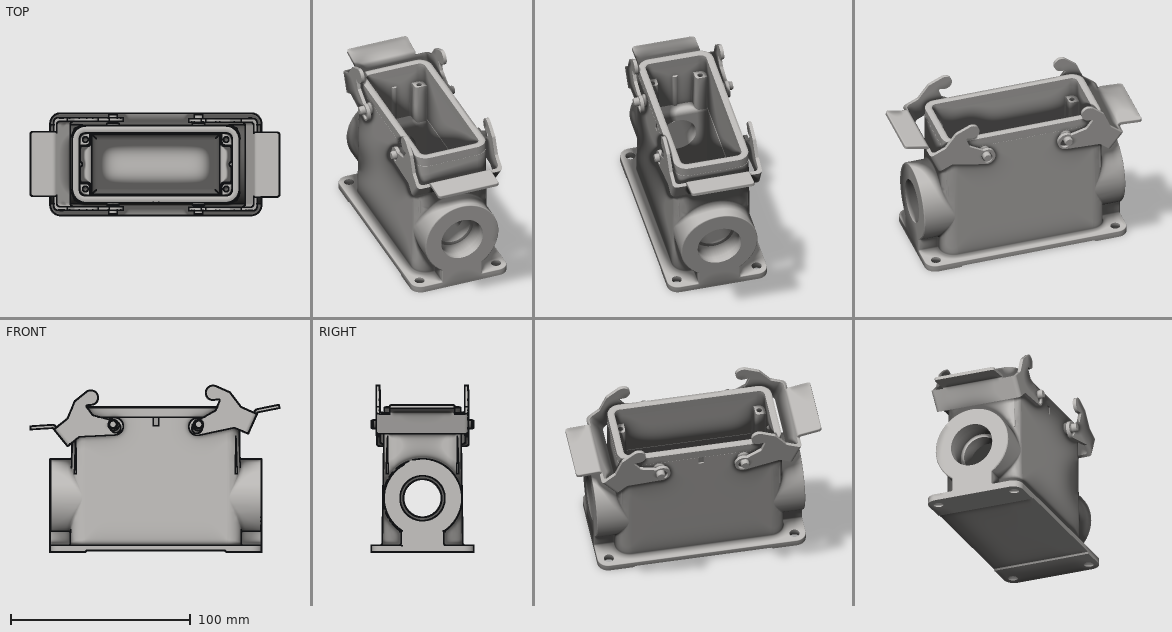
import cadquery as cq
import math

FLANGE_LENGTH = 117.5
FLANGE_WIDTH = 57.0
FLANGE_THICKNESS = 3.9
FLANGE_EDGE_FILLET = 0.4
FLANGE_CORNER = 6.1
MOUNT_HOLE_D = 5.5
MOUNT_HOLE_X = 52.4
MOUNT_HOLE_Y = 22.9
FOOT_RECESS_DEPTH = 0.8
FOOT_RECESS_HALF_LENGTH = 38.4

BODY_HALF_LENGTH = 47.46
BODY_HALF_WIDTH = 22.5
BODY_CORNER = 8.0
BODY_DRAFT = 0.9
BLEND_FILLET = 0.8
SHOULDER_Z = 74.8
RIM_HALF_LENGTH = 46.3
RIM_HALF_WIDTH = 21.27
RIM_CORNER = 7.2
RIM_WALL = 3.9
TOP_Z = 80.6
CROWN_HEIGHT = 0.5
NOTCH_WIDTH = 3.0
NOTCH_HEIGHT = 4.7
NOTCH_DEPTH = 0.7

LEDGE_Z = 46.7
FLOOR_Z = 4.2
LOWER_HALF_LENGTH = 35.5
LOWER_HALF_WIDTH = 16.6
LEDGE_ROUNDING = 3.0
FLOOR_FILLET = 3.0

BOSS_TOP_Z = 68.3
BOSS_INNER_X = 36.7
BOSS_INNER_Y = 10.7
BOSS_CORNER = 1.7
BOSS_ROOT_FILLET = 1.0
BOSS_DRAFT = 2.0
SCREW_HOLE_D = 3.0
SCREW_HOLE_X = 39.1
SCREW_HOLE_Y = 13.7
SCREW_HOLE_DEPTH = 16.6
DRILL_TIP_ANGLE = 118.0
RIB_D = 3.0

ENTRY_R = 21.9
ENTRY_Z = 30.0
ENTRY_EDGE_FILLET = 0.5
ENTRY_BORE_D = 21.0
ENTRY_COUNTERBORE_D = 25.0
ENTRY_COUNTERBORE_DEPTH = 13.9
ENTRY_FOOT_HALF_WIDTH = 11.9

PIN_X = 23.76
PIN_Z = 71.0
PIN_D = 4.8
PIN_TIP_D = 4.0
PIN_TIP_LENGTH = 1.0
PIN_END_Y = 28.34
COLLAR_D = 7.0
COLLAR_END_Y = 23.1
COLLAR_CONE_LENGTH = 0.7
PIN_RECESS_DEPTH = 0.3

LEVER_WIDTH = 51.1
SHEET = 2.0
LEVER_OUTER_BEND = 2.2
LEVER_INNER_BEND = 2.1
EYE_R = 4.8
SLOT_D = 5.5
SLOT_TRAVEL = 2.2
PIN_ABOVE_EYE = 1.4
WEB_INNER_X = 25.4
WEB_BOTTOM_Z = 7.8
WEB_TOP_Z = 19.8
CHEEK_BOTTOM_X = 18.8
CHEEK_TOP_X = 17.6
HOOK_X = 0.21
HOOK_Z = 20.6
HOOK_R = 4.09
HOOK_END_ANGLE = -52.0
HOOK_BACK_X = 8.6
HOOK_BACK_ROUNDING = 1.4
THROAT_X = 5.2
THROAT_Z = 19.05
THROAT_ROUNDING = 0.5
THROAT_FOOT_X = 5.5
THROAT_FOOT_Z = 12.3
HANDLE_ANGLE = 35.3
HANDLE_START_Z = 21.8
HANDLE_LENGTH = 13.5
HANDLE_WIDTH = 36.0
HANDLE_CORNER = 1.7
HANDLE_TIP_FILLET = 0.5
HANDLE_BEND = 0.5
RIGHT_TILT = 24.0
LEFT_TILT = 39.0
LEVER_SIDE_PLAY = 0.18

NEAR = 0.01


def rounded_plate(half_length, half_width, corner, bottom, height):
    """Upright prism with a rounded rectangular outline."""
    return (
        cq.Workplane("XY", origin=(0, 0, bottom))
        .rect(2 * half_length, 2 * half_width)
        .extrude(height)
        .edges("|Z")
        .fillet(corner)
    )


def flange():
    plate = rounded_plate(FLANGE_LENGTH / 2, FLANGE_WIDTH / 2, FLANGE_CORNER, 0, FLANGE_THICKNESS)
    outer = FOOT_RECESS_HALF_LENGTH + FOOT_RECESS_DEPTH
    recess = (
        cq.Workplane("XZ")
        .polyline([
            (-outer, 0),
            (-FOOT_RECESS_HALF_LENGTH, FOOT_RECESS_DEPTH),
            (FOOT_RECESS_HALF_LENGTH, FOOT_RECESS_DEPTH),
            (outer, 0),
        ])
        .close()
        .extrude(FLANGE_WIDTH / 2, both=True)
    )
    return plate.faces(">Z").edges().fillet(FLANGE_EDGE_FILLET).cut(recess)


def drafted_body():
    section = (
        cq.Sketch()
        .rect(2 * BODY_HALF_LENGTH, 2 * BODY_HALF_WIDTH)
        .vertices()
        .fillet(BODY_CORNER)
    )
    return (
        cq.Workplane("XY", origin=(0, 0, FLANGE_THICKNESS))
        .placeSketch(section)
        .extrude(SHOULDER_Z - FLANGE_THICKNESS, taper=BODY_DRAFT)
    )


def rim():
    """Straight rim block with a shallow arched crown running round its top."""
    half_wall = RIM_WALL / 2
    crown_foot_z = TOP_Z - CROWN_HEIGHT
    middle_length = RIM_HALF_LENGTH - half_wall
    middle_width = RIM_HALF_WIDTH - half_wall
    block = rounded_plate(RIM_HALF_LENGTH, RIM_HALF_WIDTH, RIM_CORNER, SHOULDER_Z, crown_foot_z - SHOULDER_Z)
    path = (
        rounded_plate(middle_length, middle_width, RIM_CORNER - half_wall, crown_foot_z, CROWN_HEIGHT)
        .faces("<Z")
        .wires()
        .val()
    )
    crown = (
        cq.Workplane("YZ", origin=(RIM_HALF_LENGTH - RIM_CORNER, -middle_width, crown_foot_z))
        .moveTo(-half_wall, 0)
        .threePointArc((0, CROWN_HEIGHT), (half_wall, 0))
        .close()
        .sweep(cq.Workplane(obj=path))
    )
    return block.union(crown)


def entry(side):
    """Round cable entry standing on a foot, at the end given by side (-1 or 1)."""
    end_x = side * FLANGE_LENGTH / 2
    length = FLANGE_LENGTH / 2 - LOWER_HALF_LENGTH
    foot_z = FLANGE_THICKNESS - FLANGE_EDGE_FILLET
    plane = cq.Workplane("YZ", origin=(end_x, 0, 0))
    barrel = plane.center(0, ENTRY_Z).circle(ENTRY_R).extrude(-side * length)
    foot = (
        plane.center(0, (foot_z + ENTRY_Z) / 2)
        .rect(2 * ENTRY_FOOT_HALF_WIDTH, ENTRY_Z - foot_z)
        .extrude(-side * length)
    )
    outer_face = ">X" if side > 0 else "<X"
    return barrel.union(foot).faces(outer_face).edges("not <Z").fillet(ENTRY_EDGE_FILLET)


def entry_bore(side):
    end_x = side * FLANGE_LENGTH / 2
    plane = cq.Workplane("YZ", origin=(end_x, 0, ENTRY_Z))
    bore = plane.circle(ENTRY_BORE_D / 2).extrude(-side * FLANGE_LENGTH / 2)
    counterbore = plane.circle(ENTRY_COUNTERBORE_D / 2).extrude(-side * ENTRY_COUNTERBORE_DEPTH)
    return bore.union(counterbore)


def cavity():
    half_length = RIM_HALF_LENGTH - RIM_WALL
    half_width = RIM_HALF_WIDTH - RIM_WALL
    corner = RIM_CORNER - RIM_WALL
    mouth = rounded_plate(half_length, half_width, corner, SHOULDER_Z, TOP_Z - SHOULDER_Z)
    mouth_section = cq.Sketch().rect(2 * half_length, 2 * half_width).vertices().fillet(corner)
    upper = (
        cq.Workplane("XY", origin=(0, 0, SHOULDER_Z))
        .placeSketch(mouth_section)
        .extrude(LEDGE_Z - SHOULDER_Z, taper=BODY_DRAFT)
    )
    flare_x = LOWER_HALF_LENGTH + LEDGE_ROUNDING
    flare_z = LEDGE_Z - LEDGE_ROUNDING
    on_arc = LEDGE_ROUNDING * math.sqrt(0.5)
    lower = (
        cq.Workplane("XZ")
        .moveTo(-LOWER_HALF_LENGTH, FLOOR_Z)
        .lineTo(LOWER_HALF_LENGTH, FLOOR_Z)
        .lineTo(LOWER_HALF_LENGTH, flare_z)
        .threePointArc((flare_x - on_arc, flare_z + on_arc), (flare_x, LEDGE_Z))
        .lineTo(-flare_x, LEDGE_Z)
        .threePointArc((-flare_x + on_arc, flare_z + on_arc), (-LOWER_HALF_LENGTH, flare_z))
        .close()
        .extrude(LOWER_HALF_WIDTH, both=True)
        .faces("<Z")
        .edges()
        .fillet(FLOOR_FILLET)
    )
    return mouth.union(upper).union(lower)


def screw_boss():
    """Boss in the +X +Y corner of the upper chamber, blended into both walls."""
    wall_x = RIM_HALF_LENGTH - RIM_WALL
    wall_y = RIM_HALF_WIDTH - RIM_WALL
    sink = RIM_WALL / 2
    root = BOSS_ROOT_FILLET
    foot_z = LEDGE_Z - LEDGE_ROUNDING
    block = (
        cq.Workplane("XY", origin=(0, 0, BOSS_TOP_Z))
        .moveTo(wall_x + sink, wall_y + sink)
        .lineTo(BOSS_INNER_X - root, wall_y + sink)
        .lineTo(BOSS_INNER_X - root, wall_y)
        .radiusArc((BOSS_INNER_X, wall_y - root), root)
        .lineTo(BOSS_INNER_X, BOSS_INNER_Y + BOSS_CORNER)
        .radiusArc((BOSS_INNER_X + BOSS_CORNER, BOSS_INNER_Y), -BOSS_CORNER)
        .lineTo(wall_x - root, BOSS_INNER_Y)
        .radiusArc((wall_x, BOSS_INNER_Y - root), root)
        .lineTo(wall_x + sink, BOSS_INNER_Y - root)
        .close()
        .extrude(foot_z - BOSS_TOP_Z, taper=-BOSS_DRAFT)
    )
    hole_r = SCREW_HOLE_D / 2
    tip_length = hole_r / math.tan(math.radians(DRILL_TIP_ANGLE / 2))
    hole = (
        cq.Workplane("XZ")
        .polyline([
            (0, 0),
            (hole_r, 0),
            (hole_r, -SCREW_HOLE_DEPTH),
            (0, -SCREW_HOLE_DEPTH - tip_length),
        ])
        .close()
        .revolve(360, (0, 0, 0), (0, 1, 0))
        .translate((SCREW_HOLE_X, SCREW_HOLE_Y, BOSS_TOP_Z))
    )
    return block.cut(hole)


def end_ribs():
    """Half-round rib in the middle of each end wall of the upper chamber."""
    wall_x = RIM_HALF_LENGTH - RIM_WALL
    return (
        cq.Workplane("XY", origin=(0, 0, LEDGE_Z))
        .pushPoints([(-wall_x, 0), (wall_x, 0)])
        .circle(RIB_D / 2)
        .extrude(BOSS_TOP_Z - LEDGE_Z)
    )


def pivot_pin(x):
    """Collar and pin standing out from the front (-Y) wall, turned about one axis."""
    inner_y = RIM_HALF_WIDTH - RIM_WALL / 2
    outline = [
        (0, inner_y),
        (COLLAR_D / 2, inner_y),
        (COLLAR_D / 2, COLLAR_END_Y - COLLAR_CONE_LENGTH),
        (PIN_D / 2, COLLAR_END_Y),
        (PIN_D / 2, PIN_END_Y - PIN_TIP_LENGTH),
        (PIN_TIP_D / 2, PIN_END_Y),
        (0, PIN_END_Y),
    ]
    turned = cq.Workplane("XY").polyline(outline).close().revolve(360, (0, 0, 0), (0, 1, 0))
    return turned.mirror("XZ").translate((x, 0, PIN_Z))


def pin_recess(x):
    """Shallow round mark of the pin on the inside of the front wall."""
    return (
        cq.Workplane("XZ", origin=(x, -(RIM_HALF_WIDTH - RIM_WALL), PIN_Z))
        .circle(PIN_TIP_D / 2)
        .extrude(PIN_RECESS_DEPTH)
    )


def front_notch():
    return cq.Workplane("XY").box(NOTCH_WIDTH, 2 * NOTCH_DEPTH, NOTCH_HEIGHT).translate(
        (0, -RIM_HALF_WIDTH, SHOULDER_Z - NOTCH_HEIGHT / 2)
    )


def is_inner_corner(edge):
    """Whether the edge is where body, entries and flange meet in an inner corner."""
    box = edge.BoundingBox()
    middle = edge.Center()
    on_flange = box.zmax < FLANGE_THICKNESS + NEAR and box.zmin > FLANGE_THICKNESS - NEAR
    on_outline = abs(middle.x) > BODY_HALF_LENGTH + NEAR and abs(middle.y) > ENTRY_FOOT_HALF_WIDTH + NEAR
    on_side = abs(middle.y) > BODY_HALF_WIDTH + NEAR
    if on_flange:
        return not on_outline and not on_side
    above = box.zmin > FLANGE_THICKNESS - NEAR and box.zmax < SHOULDER_Z - 1.4
    near_body = abs(middle.x) < BODY_HALF_LENGTH + NEAR
    return above and near_body


def make_housing():
    housing = flange().union(drafted_body())
    for side in (-1, 1):
        housing = housing.union(entry(side))
    blends = [edge for edge in housing.edges().vals() if is_inner_corner(edge)]
    housing = housing.newObject(blends).fillet(BLEND_FILLET).union(rim())
    housing = housing.cut(cavity()).union(end_ribs())

    corner_boss = screw_boss()
    for boss in (corner_boss, corner_boss.mirror("YZ")):
        housing = housing.union(boss).union(boss.mirror("XZ"))

    for x in (-PIN_X, PIN_X):
        pin = pivot_pin(x)
        recess = pin_recess(x)
        housing = housing.union(pin).union(pin.mirror("XZ"))
        housing = housing.cut(recess).cut(recess.mirror("XZ"))

    for side in (-1, 1):
        housing = housing.cut(entry_bore(side))
    mount_holes = (
        cq.Workplane("XY")
        .rect(2 * MOUNT_HOLE_X, 2 * MOUNT_HOLE_Y, forConstruction=True)
        .vertices()
        .circle(MOUNT_HOLE_D / 2)
        .extrude(FLANGE_THICKNESS)
    )
    return housing.cut(mount_holes).cut(front_notch())


def tangent_point(point, radius, side):
    """Where the line from point touches the circle of that radius round the eye."""
    distance = math.hypot(*point)
    angle = math.atan2(point[1], point[0]) + side * math.acos(radius / distance)
    return (radius * math.cos(angle), radius * math.sin(angle))


def lever_cheeks():
    """Both hooked side cheeks, running outward to the outer face of the web."""
    outer_x = WEB_INNER_X + SHEET
    cheek_corner = (CHEEK_BOTTOM_X, WEB_BOTTOM_Z)
    eye_bottom = tangent_point(cheek_corner, EYE_R, -1)
    hook_end_angle = math.radians(HOOK_END_ANGLE)
    hook_end = (HOOK_X + HOOK_R * math.cos(hook_end_angle), HOOK_Z + HOOK_R * math.sin(hook_end_angle))
    outline = (
        cq.Workplane("XZ")
        .moveTo(outer_x, WEB_BOTTOM_Z)
        .lineTo(*cheek_corner)
        .lineTo(*eye_bottom)
        .threePointArc((-EYE_R, 0), (0, EYE_R))
        .lineTo(THROAT_FOOT_X, THROAT_FOOT_Z)
        .lineTo(THROAT_X, THROAT_Z)
        .lineTo(*hook_end)
        .threePointArc((HOOK_X - HOOK_R, HOOK_Z), (HOOK_X, HOOK_Z + HOOK_R))
        .lineTo(HOOK_BACK_X, HOOK_Z + HOOK_R)
        .lineTo(CHEEK_TOP_X, WEB_TOP_Z)
        .lineTo(outer_x, WEB_TOP_Z)
        .close()
        .extrude(LEVER_WIDTH / 2, both=True)
    )
    outline = outline.edges(cq.selectors.NearestToPointSelector((THROAT_X, 0, THROAT_Z))).fillet(THROAT_ROUNDING)
    outline = outline.edges(
        cq.selectors.NearestToPointSelector((HOOK_BACK_X, 0, HOOK_Z + HOOK_R))
    ).fillet(HOOK_BACK_ROUNDING)
    slot = (
        cq.Workplane("XZ")
        .slot2D(SLOT_D + SLOT_TRAVEL, SLOT_D, 90)
        .extrude(LEVER_WIDTH / 2, both=True)
    )
    reach = WEB_INNER_X + EYE_R
    channel = (
        cq.Workplane("XY")
        .box(reach, LEVER_WIDTH - 2 * SHEET, HOOK_Z + HOOK_R + EYE_R + SHEET, centered=(True, True, False))
        .translate((WEB_INNER_X - reach / 2, 0, -EYE_R))
        .edges("|Z and >X")
        .fillet(LEVER_INNER_BEND)
    )
    return outline.edges("|Z and >X").fillet(LEVER_OUTER_BEND).cut(slot).cut(channel)


def lever_handle():
    """Sheet that rises from the web as a neck and bends out into the handle."""
    slope = math.radians(HANDLE_ANGLE)
    along_x = HANDLE_LENGTH * math.cos(slope)
    along_z = HANDLE_LENGTH * math.sin(slope)
    outer_x = WEB_INNER_X + SHEET
    foot_z = WEB_BOTTOM_Z + LEVER_OUTER_BEND
    under_bend_z = HANDLE_START_Z - SHEET * (1 / math.cos(slope) - math.tan(slope))
    tip = (WEB_INNER_X + along_x, HANDLE_START_Z + along_z)
    tip_under = (tip[0] + SHEET * math.sin(slope), tip[1] - SHEET * math.cos(slope))
    bent = (
        cq.Workplane("XZ")
        .polyline([
            (WEB_INNER_X, foot_z),
            (WEB_INNER_X, HANDLE_START_Z),
            tip,
            tip_under,
            (outer_x, under_bend_z),
            (outer_x, foot_z),
        ])
        .close()
        .extrude(HANDLE_WIDTH / 2, both=True)
    )
    bent = bent.edges(cq.selectors.NearestToPointSelector((WEB_INNER_X, 0, HANDLE_START_Z))).fillet(
        HANDLE_BEND + SHEET
    )
    bent = bent.edges(cq.selectors.NearestToPointSelector((outer_x, 0, under_bend_z))).fillet(HANDLE_BEND)
    tip_middle_x = (tip[0] + tip_under[0]) / 2
    tip_middle_z = (tip[1] + tip_under[1]) / 2
    for y in (-HANDLE_WIDTH / 2, HANDLE_WIDTH / 2):
        corner = cq.selectors.NearestToPointSelector((tip_middle_x, y, tip_middle_z))
        bent = bent.edges(corner).fillet(HANDLE_CORNER)
    tip_edge = cq.selectors.NearestToPointSelector((tip[0], 0, tip[1]))
    return bent.edges(tip_edge).fillet(HANDLE_TIP_FILLET)


def make_lever():
    """Locking lever with its web upright and its eye at the origin."""
    return lever_cheeks().union(lever_handle())


def place_on_pin(lever, tilt):
    """Lean the lever outward by tilt about its eye and hang it on the +X pin."""
    lean = math.radians(tilt)
    eye_x = PIN_X - PIN_ABOVE_EYE * math.sin(lean)
    eye_z = PIN_Z - PIN_ABOVE_EYE * math.cos(lean)
    return lever.rotate((0, 0, 0), (0, 1, 0), tilt).translate((eye_x, 0, eye_z))


housing = make_housing()
lever = make_lever()
right_lever = place_on_pin(lever, RIGHT_TILT).translate((0, -LEVER_SIDE_PLAY, 0))
left_lever = place_on_pin(lever, LEFT_TILT).mirror("YZ").translate((0, LEVER_SIDE_PLAY, 0))

result = cq.Compound.makeCompound([housing.val(), right_lever.val(), left_lever.val()])